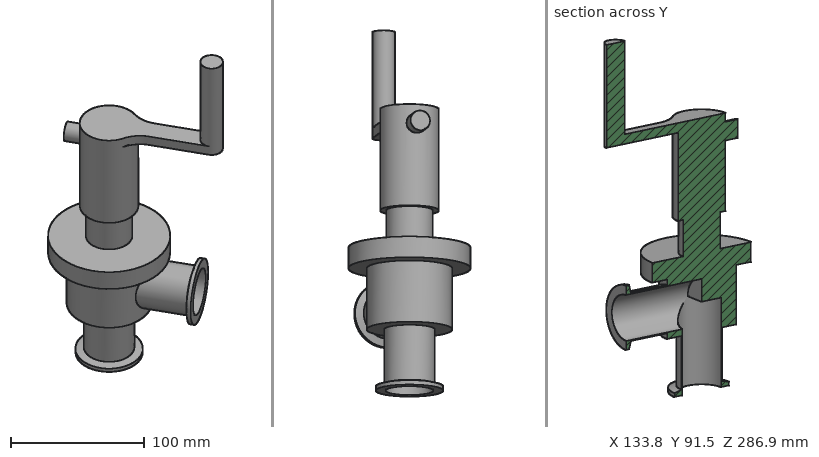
import cadquery as cq
import math


body_bottom = 46.5
body_top = 93.0
flange_top = 108.8
actuator_bottom = 137.0
actuator_top = 214.0
handle_top = 286.85

body_diameter = 64.0
flange_diameter = 91.5
neck_diameter = 35.0
actuator_diameter = 44.0

port_diameter = 38.1
bore_diameter = 35.7
ferrule_diameter = 50.5
ferrule_rim = 3.2
ferrule_bevel_angle = 15.0
side_port_reach = 70.0
side_port_height = 69.95

handle_diameter = 17.0
handle_offset = 79.5
arm_thickness = 8.0
arm_fillet_radius = 25.0

knob_diameter = 15.0
knob_reach = 33.25
knob_height = 199.6


def cylinder(diameter, bottom, top, x=0.0):
    """Upright cylinder between two heights, centred on (x, 0)."""
    return cq.Workplane("XY", origin=(x, 0, bottom)).circle(diameter / 2).extrude(top - bottom)


def clamp_port(length):
    """Solid port along +Z, before boring, whose ferrule face lies at z = 0."""
    tube_radius = port_diameter / 2
    rim_radius = ferrule_diameter / 2
    bevel_height = (rim_radius - tube_radius) * math.tan(math.radians(ferrule_bevel_angle))
    shoulder = ferrule_rim + bevel_height
    profile = (
        cq.Workplane("XZ")
        .lineTo(rim_radius, 0)
        .lineTo(rim_radius, ferrule_rim)
        .lineTo(tube_radius, shoulder)
        .lineTo(tube_radius, length)
        .lineTo(0, length)
        .close()
    )
    return profile.revolve(360, (0, 0, 0), (0, 1, 0))


def side_port():
    """Clamp port from the stem axis out to its face on the +X side."""
    port = clamp_port(side_port_reach).rotate((0, 0, 0), (0, 1, 0), -90)
    return port.translate((side_port_reach, 0, side_port_height))


def flow_passage():
    """Bores from both port faces, meeting on the stem axis at the side port height."""
    side_plane = cq.Workplane("YZ", origin=(0, 0, side_port_height))
    side_bore = side_plane.circle(bore_diameter / 2).extrude(side_port_reach)
    return cylinder(bore_diameter, 0, side_port_height).union(side_bore)


def crank_arm():
    """Flat arm that flares into the actuator through two tangent fillets."""
    hub_radius = actuator_diameter / 2
    half_width = handle_diameter / 2
    fillet_y = half_width + arm_fillet_radius
    centre_distance = hub_radius + arm_fillet_radius
    fillet_x = math.sqrt(centre_distance**2 - fillet_y**2)

    hub_x = fillet_x * hub_radius / centre_distance
    hub_y = fillet_y * hub_radius / centre_distance
    half_sweep = math.atan2(fillet_x, fillet_y) / 2
    middle_x = fillet_x - arm_fillet_radius * math.sin(half_sweep)
    middle_y = fillet_y - arm_fillet_radius * math.cos(half_sweep)

    outline = (
        cq.Workplane("XY", origin=(0, 0, actuator_top - arm_thickness))
        .moveTo(hub_x, hub_y)
        .threePointArc((middle_x, middle_y), (fillet_x, half_width))
        .lineTo(handle_offset, half_width)
        .lineTo(handle_offset, -half_width)
        .lineTo(fillet_x, -half_width)
        .threePointArc((middle_x, -middle_y), (hub_x, -hub_y))
        .threePointArc((-hub_radius, 0), (hub_x, hub_y))
        .close()
    )
    return outline.extrude(arm_thickness)


def knob():
    """Round knob reaching out from the stem axis toward -X."""
    plane = cq.Workplane("YZ", origin=(-knob_reach, 0, knob_height))
    return plane.circle(knob_diameter / 2).extrude(knob_reach)


result = (
    clamp_port(body_bottom)
    .union(cylinder(body_diameter, body_bottom, body_top))
    .union(cylinder(flange_diameter, body_top, flange_top))
    .union(cylinder(neck_diameter, flange_top, actuator_bottom))
    .union(cylinder(actuator_diameter, actuator_bottom, actuator_top))
    .union(side_port())
    .union(crank_arm())
    .union(cylinder(handle_diameter, actuator_top - arm_thickness, handle_top, handle_offset))
    .union(knob())
    .cut(flow_passage())
)